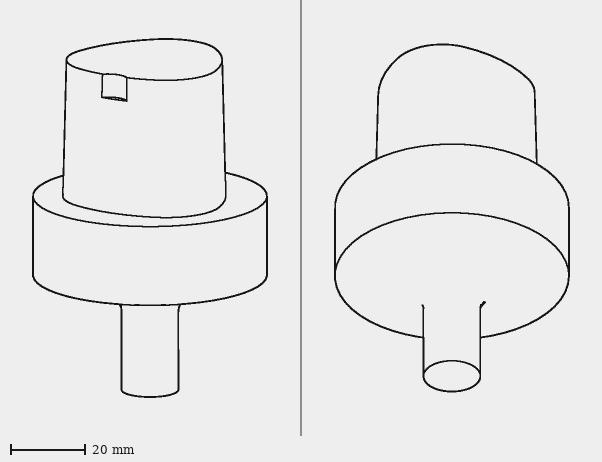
import cadquery as cq
import math

total_height = 92.0
shank_radius = 15.4 / 2
flange_radius = 63.0 / 2
flange_bottom = 32.0
flange_top = 54.0
cone_angle = math.radians(15)
neck_fillet_radius = 5.0

lobe_count = 3
lobe_reach = 23.5
side_reach = 20.4
lobe_radius = 14.9
polygon_taper = math.degrees(math.atan(1 / 40))
lobe_pitch = 360 / lobe_count
first_lobe_angle = 90

notch_radius = 5.3
notch_back_y = -17.8
notch_depth = 6.4


def polar(radius, angle):
    """Point at a radius and an angle in degrees."""
    return cq.Vector(radius * math.cos(math.radians(angle)), radius * math.sin(math.radians(angle)))


def make_turned_body():
    cone_bottom = flange_bottom - (flange_radius - shank_radius) * math.tan(cone_angle)
    profile = [
        (0, 0),
        (shank_radius, 0),
        (shank_radius, cone_bottom),
        (flange_radius, flange_bottom),
        (flange_radius, flange_top),
        (0, flange_top),
    ]
    body = cq.Workplane("XZ").polyline(profile).close().revolve(360, (0, 0), (0, 1))
    neck_point = (0, -shank_radius, cone_bottom)
    return body.edges(cq.selectors.NearestToPointSelector(neck_point)).fillet(neck_fillet_radius)


def make_polygon():
    lobe_center_distance = lobe_reach - lobe_radius
    reach_difference = side_reach - lobe_radius
    side_center_distance = (lobe_center_distance**2 - reach_difference**2) / (
        2 * reach_difference - lobe_center_distance
    )
    side_radius = side_reach + side_center_distance

    def tangent_point(lobe_angle, side_angle):
        lobe_center = polar(lobe_center_distance, lobe_angle)
        side_center = polar(-side_center_distance, side_angle)
        direction = (lobe_center - side_center).normalized()
        return side_center + direction * side_radius

    first_point = tangent_point(first_lobe_angle, first_lobe_angle - lobe_pitch / 2)
    outline = cq.Workplane("XY", origin=(0, 0, flange_top)).moveTo(first_point.x, first_point.y)
    for index in range(lobe_count):
        lobe_angle = first_lobe_angle + index * lobe_pitch
        side_angle = lobe_angle + lobe_pitch / 2
        lobe_end = tangent_point(lobe_angle, side_angle)
        side_end = tangent_point(lobe_angle + lobe_pitch, side_angle)
        outline = outline.threePointArc(polar(lobe_reach, lobe_angle).toTuple()[:2], lobe_end.toTuple()[:2])
        outline = outline.threePointArc(polar(side_reach, side_angle).toTuple()[:2], side_end.toTuple()[:2])
    return outline.close().extrude(total_height - flange_top, taper=polygon_taper)


def make_notch_cutter():
    floor = cq.Workplane("XY", origin=(0, 0, total_height - notch_depth))
    return floor.center(0, notch_back_y - notch_radius).circle(notch_radius).extrude(notch_depth)


result = make_turned_body().union(make_polygon()).cut(make_notch_cutter())